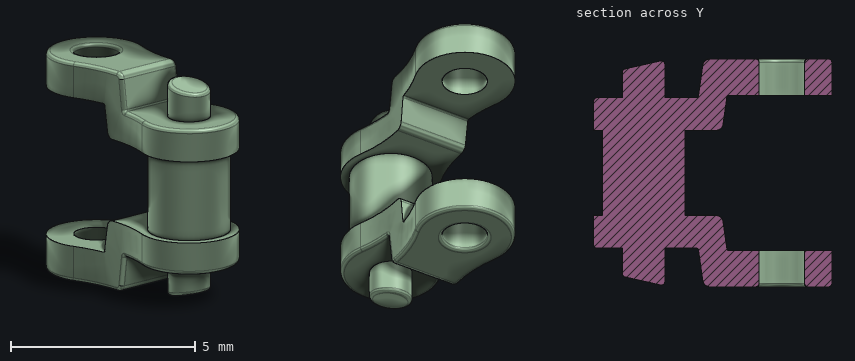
import cadquery as cq
import math

LENGTH = 6.49
EYE_DIAMETER = 2.74
WAIST_WIDTH = 2.05

HEIGHT = 6.2
OUTER_THICKNESS = 1.0
INNER_THICKNESS = 0.9
INNER_GAP = 2.3

STEP_ANGLE = 8.0
STEP_TOP_X = 0.25
STEP_UNDERSIDE_X = -0.395
STEP_CREST_RADIUS = 0.2
STEP_ROOT_RADIUS = 0.05

EDGE_RADIUS = 0.105
HOLE_DIAMETER = 1.225
BUSHING_DIAMETER = 2.26
PIN_DIAMETER = 1.17
PIN_AXIS_HEIGHT = 2.945
PIN_END_ANGLE = 12.7

eye_radius = EYE_DIAMETER / 2
eye_x = LENGTH / 2 - eye_radius
waist_half = WAIST_WIDTH / 2
outer_top = HEIGHT / 2
outer_bottom = outer_top - OUTER_THICKNESS
inner_bottom = INNER_GAP / 2
inner_top = inner_bottom + INNER_THICKNESS


def link_outline():
    """Plan outline, with waist arcs tangent to both eyes."""
    waist_radius = (eye_x**2 + waist_half**2 - eye_radius**2) / (EYE_DIAMETER - WAIST_WIDTH)
    share = eye_radius / (eye_radius + waist_radius)
    tangent_x = eye_x * (1 - share)
    tangent_y = (waist_half + waist_radius) * share
    return (
        cq.Workplane("XY")
        .moveTo(-tangent_x, tangent_y)
        .threePointArc((0, waist_half), (tangent_x, tangent_y))
        .threePointArc((LENGTH / 2, 0), (tangent_x, -tangent_y))
        .threePointArc((0, -waist_half), (-tangent_x, -tangent_y))
        .threePointArc((-LENGTH / 2, 0), (-tangent_x, tangent_y))
        .close()
    )


def stepped_slab():
    """Side profile of the upper plate, extruded across the full width."""
    slant = math.tan(math.radians(STEP_ANGLE))
    crest_outer = (STEP_TOP_X, outer_top)
    root_outer = (STEP_TOP_X + (outer_top - inner_top) * slant, inner_top)
    root_under = (STEP_UNDERSIDE_X, outer_bottom)
    crest_under = (STEP_UNDERSIDE_X + (outer_bottom - inner_bottom) * slant, inner_bottom)
    half_length = LENGTH / 2
    slab = (
        cq.Workplane("XZ")
        .polyline([
            (-half_length, outer_top),
            crest_outer,
            root_outer,
            (half_length, inner_top),
            (half_length, inner_bottom),
            crest_under,
            root_under,
            (-half_length, outer_bottom),
        ])
        .close()
        .extrude(EYE_DIAMETER / 2, both=True)
    )
    for corners, radius in (
        ((crest_outer, crest_under), STEP_CREST_RADIUS),
        ((root_outer, root_under), STEP_ROOT_RADIUS),
    ):
        for x, z in corners:
            slab = slab.edges(cq.selectors.NearestToPointSelector((x, 0, z))).fillet(radius)
    return slab


def upper_plate():
    plate = stepped_slab().intersect(link_outline().extrude(outer_top))
    plate = plate.faces(">Z").edges("not |Y").fillet(EDGE_RADIUS)
    hole = cq.Workplane("XY").center(-eye_x, 0).circle(HOLE_DIAMETER / 2).extrude(outer_top)
    plate = plate.cut(hole)
    hole_rim = cq.selectors.RadiusNthSelector(0)
    return plate.faces(">Z").edges("%CIRCLE").edges(hole_rim).fillet(EDGE_RADIUS)


def pin():
    """Pin with slanted, rounded ends, longer on the side facing the holes."""
    pin_radius = PIN_DIAMETER / 2
    rise = pin_radius * math.tan(math.radians(PIN_END_ANGLE))
    long_half = PIN_AXIS_HEIGHT + rise
    short_half = PIN_AXIS_HEIGHT - rise
    left = eye_x - pin_radius
    right = eye_x + pin_radius
    side = (
        cq.Workplane("XZ")
        .polyline([(left, long_half), (right, short_half), (right, -short_half), (left, -long_half)])
        .close()
        .extrude(pin_radius, both=True)
    )
    rod = cq.Workplane("XY").center(eye_x, 0).circle(pin_radius).extrude(long_half, both=True)
    return rod.intersect(side).edges(">Z or <Z").fillet(EDGE_RADIUS)


plate = upper_plate()
bushing = cq.Workplane("XY").center(eye_x, 0).circle(BUSHING_DIAMETER / 2).extrude(inner_bottom, both=True)
result = bushing.union(plate).union(plate.mirror("XY")).union(pin())